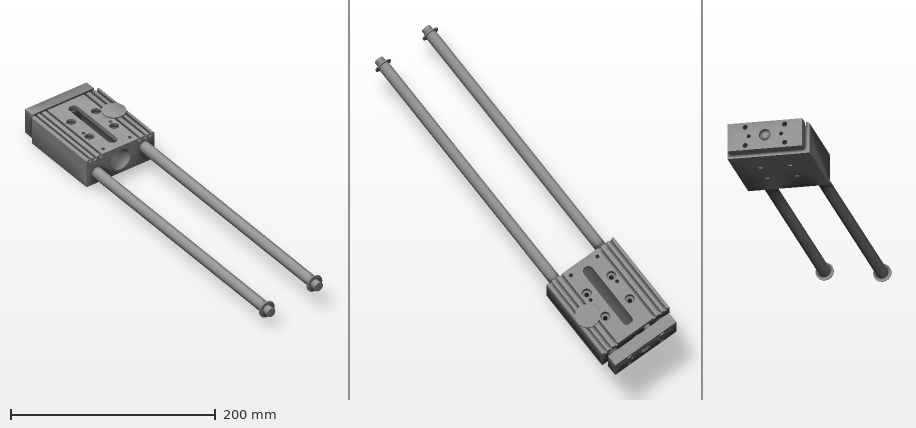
import cadquery as cq

overall_length = 395.0
housing_start = 16.0
housing_length = 90.5
housing_width = 82.0
housing_height = 32.0
housing_chamfer = 1.0
housing_end = housing_start + housing_length
mid_height = housing_height / 2

groove_width = 2.8
groove_depth = 4.0
groove_offsets = (23.5, 30.5, 36.5)

bore_diameter = 23.7
bore_start = 27.3
slot_width = 10.5
slot_start = 24.5
slot_end = 98.5
slot_depth = 6.0

mount_hole_diameter = 4.7
mount_head_diameter = 10.0
mount_head_depth = 4.7
mount_xs = (46.0, 76.0)
mount_y = 15.0
thread_diameter = 4.0
thread_depth = 6.0
core_diameter = 3.25
core_depth = 8.0
thread_xs = (68.0, 100.0)
thread_y = 16.0

badge_diameter = 24.0
badge_thickness = 1.5
badge_x = 56.5
badge_y = (housing_width - badge_diameter) / 2

plate_thickness = 12.0
plate_width = 74.5
plate_height = 28.5
plate_thread_diameter = 5.0
plate_core_diameter = 4.0
plate_thread_depth = 8.0
plate_corner_y = 19.8
plate_corner_z = 9.5
plate_middle_hole = 4.0
plate_middle_y = 16.0

rod_diameter = 12.0
rod_y = 29.0
rod_rise = 3.0
rod_end_diameter = 10.0
collar_diameter = 18.0
collar_thickness = 1.0
collar_start = 387.0

stop_diameter = 8.0
stop_y = -12.5
stop_z = 23.5
stop_end = bore_start

piston_diameter = 6.5
piston_collar_diameter = 10.0
piston_collar_end = 14.2
recess_diameter = 12.0
recess_depth = 4.0
tip_base_diameter = 10.0
tip_diameter = 4.7
tip_length = 2.5


def cylinder_x(diameter, start, end, y, z):
    """Solid cylinder along X between two stations."""
    return cq.Workplane("YZ", origin=(start, y, z)).circle(diameter / 2).extrude(end - start)


def rod_places():
    """Y and Z of the two guide rods."""
    return [(side * rod_y, mid_height + side * rod_rise) for side in (-1, 1)]


def make_housing():
    body = (
        cq.Workplane("XY", origin=(housing_start, 0, 0))
        .box(housing_length, housing_width, housing_height, centered=(False, True, False))
        .faces(">Z").edges("|X").chamfer(housing_chamfer)
    )

    groove_ys = [side * offset for side in (-1, 1) for offset in groove_offsets]
    grooves = (
        cq.Workplane("XY", origin=(housing_start + housing_length / 2, 0, housing_height))
        .pushPoints([(0, y) for y in groove_ys])
        .rect(housing_length, groove_width)
        .extrude(-groove_depth)
    )
    body = body.cut(grooves)

    body = body.cut(cylinder_x(bore_diameter, bore_start, housing_end, 0, mid_height))
    slot = (
        cq.Workplane("XY", origin=((slot_start + slot_end) / 2, 0, housing_height))
        .slot2D(slot_end - slot_start, slot_width)
        .extrude(-slot_depth)
    )
    body = body.cut(slot)

    for y, z in rod_places():
        body = body.cut(cylinder_x(rod_diameter, housing_start, housing_end, y, z))
    body = body.cut(cylinder_x(piston_diameter, housing_start, bore_start, 0, mid_height))
    body = body.cut(cylinder_x(stop_diameter, housing_start, stop_end, stop_y, stop_z))

    top = cq.Workplane("XY", origin=(0, 0, housing_height))
    mounts = [(x, side * mount_y) for x in mount_xs for side in (-1, 1)]
    threads = [(x, side * thread_y) for x in thread_xs for side in (-1, 1)]
    body = body.cut(top.pushPoints(mounts).circle(mount_hole_diameter / 2).extrude(-housing_height))
    body = body.cut(top.pushPoints(mounts).circle(mount_head_diameter / 2).extrude(-mount_head_depth))
    body = body.cut(top.pushPoints(threads).circle(thread_diameter / 2).extrude(-thread_depth))
    body = body.cut(top.pushPoints(threads).circle(core_diameter / 2).extrude(-core_depth))

    badge = top.center(badge_x, badge_y).circle(badge_diameter / 2).extrude(badge_thickness)
    return body.union(badge)


def make_plate():
    plate = cq.Workplane("XY", origin=(0, 0, mid_height)).box(
        plate_thickness, plate_width, plate_height, centered=(False, True, True)
    )
    for side in (-1, 1):
        middle_y = side * plate_middle_y
        plate = plate.cut(cylinder_x(plate_middle_hole, 0, plate_thickness, middle_y, mid_height))
        for level in (-1, 1):
            hole_z = mid_height + level * plate_corner_z
            hole_y = side * plate_corner_y
            plate = plate.cut(cylinder_x(plate_thread_diameter, 0, plate_thread_depth, hole_y, hole_z))
            plate = plate.cut(cylinder_x(plate_core_diameter, 0, plate_thickness, hole_y, hole_z))
    return plate.cut(cylinder_x(recess_diameter, 0, recess_depth, 0, mid_height))


def make_guide_rod(y, z):
    rod = cylinder_x(rod_diameter, plate_thickness, collar_start, y, z)
    collar_end = collar_start + collar_thickness
    collar = cylinder_x(collar_diameter, collar_start, collar_end, y, z)
    end = cylinder_x(rod_end_diameter, collar_end, overall_length, y, z)
    return rod.union(collar).union(end)


def make_piston_rod():
    collar = cylinder_x(piston_collar_diameter, plate_thickness, piston_collar_end, 0, mid_height)
    rod = cylinder_x(piston_diameter, piston_collar_end, bore_start, 0, mid_height)
    tip = (
        cq.Workplane("YZ", origin=(recess_depth, 0, mid_height))
        .circle(tip_base_diameter / 2)
        .workplane(offset=-tip_length)
        .circle(tip_diameter / 2)
        .loft()
    )
    return collar.union(rod).union(tip)


def make_yoke():
    yoke = make_plate().union(make_piston_rod())
    yoke = yoke.union(cylinder_x(stop_diameter, plate_thickness, stop_end, stop_y, stop_z))
    for y, z in rod_places():
        yoke = yoke.union(make_guide_rod(y, z))
    return yoke


housing = make_housing()
yoke = make_yoke()
result = cq.Compound.makeCompound([housing.val(), yoke.val()])